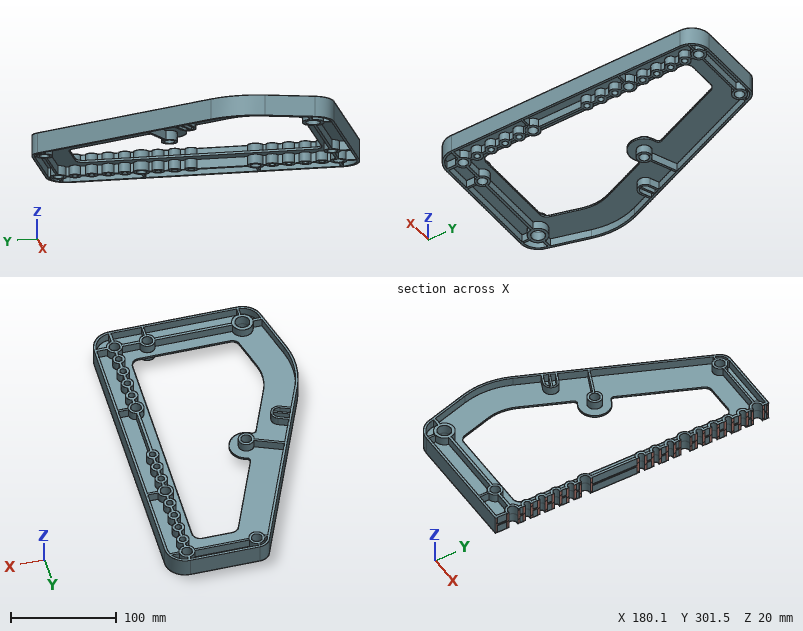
import cadquery as cq
import math

height = 20.0
web_thickness = 2.0
wall = 2.5
rib_width = 2.0
main_rib_width = 2.7
frame_width = 32.3

pitch = 16.0
edge_margin = 20.0
top_margin = 12.0
top_y = 269.5
upper_left_x = -68.0
lower_left_x = -124.8
lower_mid_x = -2 * pitch
lug_hole = (-90.5, 145.0)

mount_hole_diameter = 10.0
mount_boss_diameter = 15.0
small_hole_diameter = 6.0
small_boss_diameter = 11.8
pivot_hole_diameter = 14.0
pivot_boss_diameter = 20.5

upper_slant = math.radians(22.4)
lower_slant = math.radians(16.0)
bend_radius = 80.0
opening_corner_radius = 7.8

lug_radius = 16.3
lug_neck_radius = 3.5

pocket_center = (-129.0, 120.0)
pocket_width = 15.7
pocket_wall = 2.0
pocket_rib_width = 1.8


def line_crossing(first, second):
    """Crossing of two lines, each given as (normal angle, distance from origin)."""
    (a, d), (b, e) = first, second
    det = math.sin(b - a)
    x = (d * math.sin(b) - e * math.sin(a)) / det
    y = (e * math.cos(a) - d * math.cos(b)) / det
    return x, y


def tangent_line(center, radius, angle):
    """Line touching a circle on the side that faces the given angle."""
    distance = center[0] * math.cos(angle) + center[1] * math.sin(angle) + radius
    return angle, distance


def plan_prism(inset, thickness, smallest_radius=0):
    """Plate with the outer plan shape moved inward by inset, centred on mid height."""
    sides = [
        tangent_line((0, 0), edge_margin - inset, 0),
        tangent_line((0, top_y), top_margin - inset, math.pi / 2),
        tangent_line((upper_left_x, top_y), top_margin - inset, math.pi - upper_slant),
        tangent_line((lower_left_x, 0), edge_margin - inset, math.pi + lower_slant),
        tangent_line((0, 0), edge_margin - inset, 3 * math.pi / 2),
    ]
    corner_radii = [edge_margin, top_margin, bend_radius, edge_margin, edge_margin]
    corners = [line_crossing(side, sides[(i + 1) % len(sides)]) for i, side in enumerate(sides)]
    prism = cq.Workplane("XY").polyline(corners).close().extrude(thickness / 2, both=True)
    for (x, y), radius in zip(corners, corner_radii):
        corner_edge = cq.selectors.NearestToPointSelector((x, y, 0))
        prism = prism.edges("|Z").edges(corner_edge).fillet(max(radius - inset, smallest_radius))
    return prism


def cylinder(center, diameter):
    return cq.Workplane("XY").center(*center).circle(diameter / 2).extrude(height / 2, both=True)


def rib(start, end, width=rib_width):
    """Straight full-height rib between two points."""
    dx = end[0] - start[0]
    dy = end[1] - start[1]
    bar = cq.Workplane("XY").box(math.hypot(dx, dy), width, height)
    bar = bar.rotate((0, 0, 0), (0, 0, 1), math.degrees(math.atan2(dy, dx)))
    return bar.translate(((start[0] + end[0]) / 2, (start[1] + end[1]) / 2, 0))


def toward_slanted_wall(point, distance):
    """Point moved squarely toward the upper slanted wall."""
    return (point[0] - distance * math.cos(upper_slant), point[1] + distance * math.sin(upper_slant))


mid_y = 5 * pitch
upper_mid_y = top_y - 5 * pitch
upper_left = (upper_left_x, top_y)
pivot = (lower_left_x, 0)
lower_mid = (lower_mid_x, 0)
column_mounts = [(0, 0), (0, mid_y), (0, upper_mid_y), (0, top_y)]
mount_holes = column_mounts + [upper_left, lower_mid, lug_hole]
small_holes = [(0, i * pitch) for i in (1, 2, 3, 4)]
small_holes += [(0, top_y - i * pitch) for i in (1, 2, 3, 4, 6, 7, 8)]

hole_groups = [
    (mount_holes, mount_hole_diameter, mount_boss_diameter),
    (small_holes, small_hole_diameter, small_boss_diameter),
    ([pivot], pivot_hole_diameter, pivot_boss_diameter),
]

outer = plan_prism(0, height)
opening = plan_prism(frame_width, height, opening_corner_radius)
opening = opening.cut(cylinder(lug_hole, 2 * lug_radius))
neck_edges = cq.selectors.BoxSelector(
    (lug_hole[0] - lug_radius, lug_hole[1] - 2 * lug_radius, -height),
    (lug_hole[0] + lug_radius, lug_hole[1] + 2 * lug_radius, height),
)
opening = opening.edges("|Z").edges(neck_edges).fillet(lug_neck_radius)
web = plan_prism(0, web_thickness).cut(opening)

reach = 2 * edge_margin
ribs = [
    rib((0, -reach), (0, top_y + reach), main_rib_width),
    rib((lower_left_x - reach, 0), (reach, 0), main_rib_width),
    rib((upper_left_x - reach, top_y), (reach, top_y)),
    rib(upper_left, (upper_left_x, top_y + reach)),
    rib(pivot, (lower_left_x, -reach)),
    rib(lower_mid, (lower_mid_x, -reach)),
    rib((0, mid_y), (reach, mid_y)),
    rib((0, upper_mid_y), (reach, upper_mid_y)),
    rib(lug_hole, toward_slanted_wall(lug_hole, reach)),
]

pocket_wall_end = toward_slanted_wall(pocket_center, pocket_width)
pocket_bore = pocket_width - 2 * pocket_wall
pocket = cylinder(pocket_center, pocket_width).union(rib(pocket_center, pocket_wall_end, pocket_width))
pocket = pocket.cut(cylinder(pocket_center, pocket_bore))
pocket = pocket.cut(rib(pocket_center, pocket_wall_end, pocket_bore))
pocket_tip = toward_slanted_wall(pocket_center, -(pocket_width - pocket_wall) / 2)
pocket = pocket.union(rib(pocket_tip, pocket_wall_end, pocket_rib_width))

frame = web.union(outer.cut(plan_prism(wall, height)))
for piece in ribs + [pocket]:
    frame = frame.union(piece.intersect(outer))
for centers, hole_diameter, boss_diameter in hole_groups:
    for center in centers:
        frame = frame.union(cylinder(center, boss_diameter))
for centers, hole_diameter, boss_diameter in hole_groups:
    for center in centers:
        frame = frame.cut(cylinder(center, hole_diameter))

result = frame